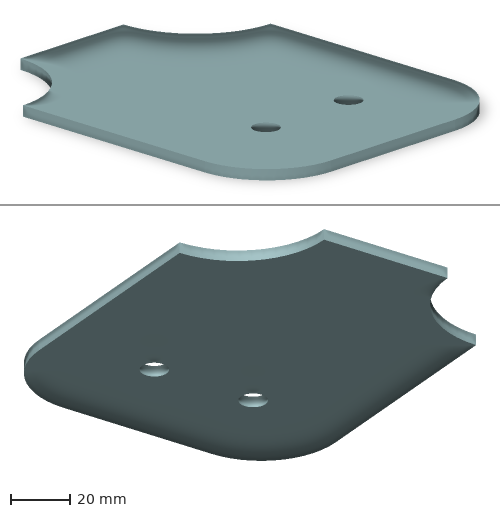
import cadquery as cq

length = 150.0
width = 120.0
thickness = 4.0

scallop_radius = 35.0
corner_radius = 30.0

hole_diameter = 10.0
hole_spacing = 40.0
hole_edge_distance = 40.0


def rounded_plate():
    """Flat plate with both +X corners rounded."""
    plate = cq.Workplane("XY").box(length, width, thickness, centered=(True, True, False))
    return plate.edges("|Z and >X").fillet(corner_radius)


def corner_scallops():
    """Cylinders centred on the two -X corners."""
    corners = [(-length / 2, side * width / 2) for side in (-1, 1)]
    return cq.Workplane("XY").pushPoints(corners).circle(scallop_radius).extrude(thickness)


def through_holes():
    """Cylinders for the pair of holes, symmetric about the X axis."""
    hole_x = length / 2 - hole_edge_distance
    centres = [(hole_x, side * hole_spacing / 2) for side in (-1, 1)]
    return cq.Workplane("XY").pushPoints(centres).circle(hole_diameter / 2).extrude(thickness)


result = rounded_plate().cut(corner_scallops()).cut(through_holes())